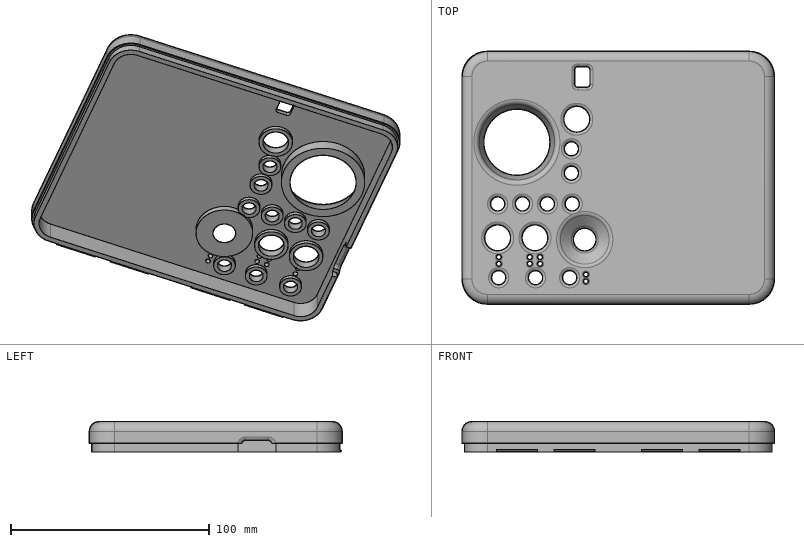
import cadquery as cq
import math

LENGTH = 157.6
WIDTH = 127.6
HEIGHT = 15.4
CORNER_RADIUS = 12.8
TOP_ROUNDING = 5.0

LIP_HEIGHT = 4.2
SKIRT_CHAMFER = 0.3
LIP_INSET = 1.2
WALL = 3.8
ROOF = 3.8
CAVITY_HEIGHT = HEIGHT - ROOF

RIDGE_LENGTH = 20.8
RIDGE_HEIGHT = 1.2
RIDGE_DEPTH = 0.9
RIDGE_CENTERS_X = (-51.0, -22.0, 22.0, 51.0)

SMALL_HOLE_DIAMETER = 7.0
MEDIUM_HOLE_DIAMETER = 12.9
BUTTON_ROUNDING = 1.6
BUTTON_DEPTH = 6.0
BUTTON_ROW_Y = -13.2
BUTTON_ROW_START_X = -60.8
BUTTON_ROW_PITCH = 12.53
BUTTON_ROW_COUNT = 4
BOTTOM_ROW_Y = -50.4
SMALL_HOLES = [
    (-23.6, 14.6),
    (-23.6, 2.3),
    (-60.3, BOTTOM_ROW_Y),
    (-41.7, BOTTOM_ROW_Y),
    (-24.5, BOTTOM_ROW_Y),
]
for button in range(BUTTON_ROW_COUNT):
    SMALL_HOLES.append((BUTTON_ROW_START_X + button * BUTTON_ROW_PITCH, BUTTON_ROW_Y))
MEDIUM_HOLES = [(-20.9, 29.5), (-60.8, -30.3), (-42.0, -30.3)]

DIAL_CENTER = (-51.1, 17.9)
DIAL_TOP_DIAMETER = 38.0
DIAL_BOTTOM_DIAMETER = 33.2
DIAL_ROUNDING = 2.7
DIAL_DEPTH = 9.8

STICK_CENTER = (-16.9, -31.2)
STICK_TOP_DIAMETER = 24.6
STICK_WAIST_DIAMETER = 13.6
STICK_BOTTOM_DIAMETER = 11.3
STICK_ROUNDING = 2.8
STICK_CONE_ANGLE = 42.0
STICK_DEPTH = 7.0

BOSS_WALL = 2.0

LIGHT_DIAMETER = 2.3
LIGHT_ROUNDING = 0.6
LIGHT_PITCH = 3.4
LIGHT_PAIRS = [(-60.2, -41.7), (-44.6, -41.7), (-39.4, -41.7), (-16.3, -50.5)]

WINDOW_CENTER = (-18.1, 50.8)
WINDOW_LENGTH = 7.6
WINDOW_WIDTH = 10.2
WINDOW_CORNER = 1.5
WINDOW_ROUNDING = 1.5

NOTCH_CENTER_Y = -20.7
NOTCH_WIDTH = 15.6
NOTCH_TOP_Z = 5.8
NOTCH_CORNER = 2.2
NOTCH_ROUNDING = 1.8
NOTCH_LIP_WIDTH = NOTCH_WIDTH + 2 * NOTCH_ROUNDING

SELECT_MARGIN = 0.1


def standing_box(length, width, height):
    """Box centred on the Z axis and standing on the bottom plane."""
    return cq.Workplane("XY").box(length, width, height, centered=(True, True, False))


def edges_within(low, high):
    """Selector for edges centred inside the box between two corners, with a small margin."""
    padded_low = [value - SELECT_MARGIN for value in low]
    padded_high = [value + SELECT_MARGIN for value in high]
    return cq.selectors.BoxSelector(padded_low, padded_high)


def rounded_block(inset, bottom, top):
    """Upright block with the cover's outline moved in by inset."""
    block = standing_box(LENGTH - 2 * inset, WIDTH - 2 * inset, top - bottom)
    return block.edges("|Z").fillet(CORNER_RADIUS - inset).translate((0, 0, bottom))


def arc_point(radius, rounding, full_turn, turn):
    """Point (radius, z) on an entry rounding after turning down from the top plane by turn.

    The rounding ends at the given radius after full_turn.
    """
    outer_radius = radius + rounding * math.sin(full_turn)
    return (outer_radius - rounding * math.sin(turn), HEIGHT - rounding * (1 - math.cos(turn)))


def turned_cutter(center, top_diameter, rounding, lower_points, wall_angle=90.0):
    """Solid of revolution for an opening with a rounded entry.

    The rounding turns from the top plane to wall_angle and ends at top_diameter;
    lower_points continue the wall as (radius, z).
    """
    turn = math.radians(wall_angle)
    top_radius = top_diameter / 2
    start = arc_point(top_radius, rounding, turn, 0)
    middle = arc_point(top_radius, rounding, turn, turn / 2)
    end = arc_point(top_radius, rounding, turn, turn)
    profile = cq.Workplane("XZ").moveTo(0, 0).lineTo(0, HEIGHT).lineTo(*start).threePointArc(middle, end)
    for point in lower_points:
        profile = profile.lineTo(*point)
    cutter = profile.close().revolve(360, (0, 0, 0), (0, 1, 0))
    return cutter.translate((center[0], center[1], 0))


def straight_hole(center, diameter, rounding):
    return turned_cutter(center, diameter, rounding, [(diameter / 2, 0)])


def boss(center, diameter, depth):
    """Round boss reaching from the roof down to depth below the top."""
    bottom = HEIGHT - depth
    base = cq.Workplane("XY", origin=(*center, bottom))
    return base.circle(diameter / 2).extrude(CAVITY_HEIGHT - bottom)


def make_outer_body():
    block = rounded_block(0, 0, HEIGHT)
    return block.faces(">Z").edges().fillet(TOP_ROUNDING)


def notch_box(width, height):
    """Box through the -X wall, standing on the bottom plane at the notch."""
    return standing_box(2 * WALL, width, height).translate((-LENGTH / 2, NOTCH_CENTER_Y, 0))


def cut_notch_arch(body):
    arch = notch_box(NOTCH_WIDTH, NOTCH_TOP_Z)
    arch = arch.edges("|X and >Z").fillet(NOTCH_CORNER)
    body = body.cut(arch)
    side_x = -LENGTH / 2
    rim = edges_within(
        (side_x, NOTCH_CENTER_Y - NOTCH_WIDTH / 2, NOTCH_CORNER / 2),
        (side_x, NOTCH_CENTER_Y + NOTCH_WIDTH / 2, NOTCH_TOP_Z),
    )
    return body.edges(rim).fillet(NOTCH_ROUNDING)


def step_in_lip(body):
    """Move the outside in below the skirt, leaving the lip."""
    band = rounded_block(0, 0, LIP_HEIGHT + SKIRT_CHAMFER)
    lip = rounded_block(LIP_INSET, 0, LIP_HEIGHT)
    chamfered_skirt = rounded_block(0, LIP_HEIGHT, HEIGHT).faces("<Z").edges().chamfer(SKIRT_CHAMFER)
    return body.cut(band.cut(lip).cut(chamfered_skirt))


def make_snap_ridge(center_x):
    """Triangular ridge along X on the -Y face of the lip."""
    face_y = -WIDTH / 2 + LIP_INSET
    profile = [(face_y, 0), (face_y - RIDGE_DEPTH, RIDGE_HEIGHT / 2), (face_y, RIDGE_HEIGHT)]
    start = cq.Workplane("YZ", origin=(center_x - RIDGE_LENGTH / 2, 0, 0))
    return start.polyline(profile).close().extrude(RIDGE_LENGTH)


def add_bosses(body):
    """Add every boss before any opening is cut, since neighbouring bosses overlap."""
    body = body.union(boss(DIAL_CENTER, DIAL_TOP_DIAMETER + 2 * BOSS_WALL, DIAL_DEPTH))
    body = body.union(boss(STICK_CENTER, STICK_TOP_DIAMETER + 2 * BOSS_WALL, STICK_DEPTH))
    for center in SMALL_HOLES:
        body = body.union(boss(center, SMALL_HOLE_DIAMETER + 2 * BOSS_WALL, BUTTON_DEPTH))
    for center in MEDIUM_HOLES:
        body = body.union(boss(center, MEDIUM_HOLE_DIAMETER + 2 * BOSS_WALL, BUTTON_DEPTH))
    return body


def cut_dial(body):
    bottom_radius = DIAL_BOTTOM_DIAMETER / 2
    lower = [(bottom_radius, HEIGHT - DIAL_DEPTH), (bottom_radius, 0)]
    return body.cut(turned_cutter(DIAL_CENTER, DIAL_TOP_DIAMETER, DIAL_ROUNDING, lower))


def cut_stick(body):
    angle = math.radians(STICK_CONE_ANGLE)
    cone_start_z = HEIGHT - STICK_ROUNDING * (1 - math.cos(angle))
    waist_z = cone_start_z - (STICK_TOP_DIAMETER - STICK_WAIST_DIAMETER) / 2 * math.tan(angle)
    bottom_radius = STICK_BOTTOM_DIAMETER / 2
    lower = [
        (STICK_WAIST_DIAMETER / 2, waist_z),
        (bottom_radius, HEIGHT - STICK_DEPTH),
        (bottom_radius, 0),
    ]
    cutter = turned_cutter(STICK_CENTER, STICK_TOP_DIAMETER, STICK_ROUNDING, lower, STICK_CONE_ANGLE)
    return body.cut(cutter)


def cut_buttons(body):
    for center in SMALL_HOLES:
        body = body.cut(straight_hole(center, SMALL_HOLE_DIAMETER, BUTTON_ROUNDING))
    for center in MEDIUM_HOLES:
        body = body.cut(straight_hole(center, MEDIUM_HOLE_DIAMETER, BUTTON_ROUNDING))
    return body


def cut_lights(body):
    for x, y in LIGHT_PAIRS:
        for side in (-1, 1):
            center = (x, y + side * LIGHT_PITCH / 2)
            body = body.cut(straight_hole(center, LIGHT_DIAMETER, LIGHT_ROUNDING))
    return body


def cut_window(body):
    center_x, center_y = WINDOW_CENTER
    cutter = standing_box(WINDOW_LENGTH, WINDOW_WIDTH, HEIGHT).edges("|Z").fillet(WINDOW_CORNER)
    body = body.cut(cutter.translate((center_x, center_y, 0)))
    rim = edges_within(
        (center_x - WINDOW_LENGTH / 2, center_y - WINDOW_WIDTH / 2, HEIGHT),
        (center_x + WINDOW_LENGTH / 2, center_y + WINDOW_WIDTH / 2, HEIGHT),
    )
    return body.edges(rim).fillet(WINDOW_ROUNDING)


result = make_outer_body().cut(rounded_block(WALL, 0, CAVITY_HEIGHT))
result = cut_notch_arch(result)
result = step_in_lip(result)
result = result.cut(notch_box(NOTCH_LIP_WIDTH, LIP_HEIGHT))
result = cut_window(result)
for ridge_x in RIDGE_CENTERS_X:
    result = result.union(make_snap_ridge(ridge_x))
result = add_bosses(result)
result = cut_dial(result)
result = cut_stick(result)
result = cut_buttons(result)
result = cut_lights(result)